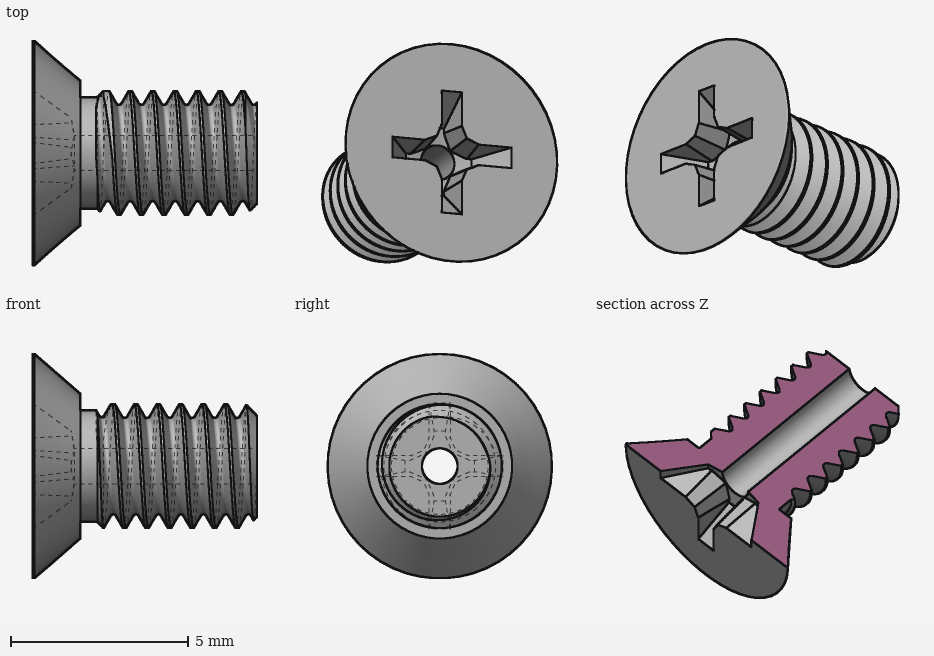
import cadquery as cq
import math


SCREW_LENGTH = 6.35

HEAD_RADIUS = 3.17
HEAD_RIM_THICKNESS = 0.06
HEAD_EDGE_ROUND = 0.03
HEAD_LENGTH = 1.355
HEAD_CONE_ANGLE = 82.0

NECK_RADIUS = 1.578
NECK_END = 1.835

THREAD_RADIUS = 3.505 / 2
THREAD_PITCH = 25.4 / 40
FLANK = math.radians(30)
CREST_WIDTH = THREAD_PITCH / 8
ROOT_ARC_RADIUS = 0.144 * THREAD_PITCH
APEX_RADIUS = THREAD_RADIUS - (THREAD_PITCH - CREST_WIDTH) / 2 / math.tan(FLANK)
ROOT_RADIUS = APEX_RADIUS + ROOT_ARC_RADIUS / math.sin(FLANK) - ROOT_ARC_RADIUS
TIP_RADIUS = 1.425

GROOVE_START_X = 1.98
GROOVE_START_ANGLE = 5.0

CUT_CLEARANCE = 0.02
GUIDE_RADIUS = 2 * ROOT_RADIUS

WING_SPAN_TOP = 3.56
WING_WIDTH_TOP = 0.60
WING_SPAN_BOTTOM = 1.97
WING_WIDTH_BOTTOM = 0.32
SHOULDER_TOP = 0.80
SHOULDER_BOTTOM = 0.85
INNER_CORNER_TOP = 0.45
INNER_CORNER_BOTTOM = 0.37
RECESS_DEPTH = 1.1
RECESS_CONE_ANGLE = 160.0
WING_COUNT = 4

BORE_RADIUS = 0.5


def blank():
    """Head, neck and unthreaded shank as one turned body; both shank ends have 45 degree chamfers."""
    head_back_radius = HEAD_RADIUS - (HEAD_LENGTH - HEAD_RIM_THICKNESS) * math.tan(
        math.radians(HEAD_CONE_ANGLE / 2)
    )
    start_chamfer = THREAD_RADIUS - NECK_RADIUS
    tip_chamfer = THREAD_RADIUS - TIP_RADIUS
    return (
        cq.Workplane("XZ")
        .moveTo(0, 0)
        .lineTo(0, HEAD_RADIUS - HEAD_EDGE_ROUND)
        .radiusArc((HEAD_EDGE_ROUND, HEAD_RADIUS), HEAD_EDGE_ROUND)
        .lineTo(HEAD_RIM_THICKNESS, HEAD_RADIUS)
        .lineTo(HEAD_LENGTH, head_back_radius)
        .lineTo(HEAD_LENGTH, NECK_RADIUS)
        .lineTo(NECK_END, NECK_RADIUS)
        .lineTo(NECK_END + start_chamfer, THREAD_RADIUS)
        .lineTo(SCREW_LENGTH - tip_chamfer, THREAD_RADIUS)
        .lineTo(SCREW_LENGTH, TIP_RADIUS)
        .lineTo(SCREW_LENGTH, 0)
        .close()
        .revolve(360, (0, 0, 0), (1, 0, 0))
    )


def groove_profile():
    """Closed 60 degree groove outline with a rounded root, in the XZ plane, radius along X."""
    tangent_radius = ROOT_RADIUS + ROOT_ARC_RADIUS * (1 - math.sin(FLANK))
    tangent_half_width = ROOT_ARC_RADIUS * math.cos(FLANK)
    outer_radius = THREAD_RADIUS + CUT_CLEARANCE
    outer_half_width = (outer_radius - APEX_RADIUS) * math.tan(FLANK)
    return (
        cq.Workplane("XZ")
        .moveTo(outer_radius, -outer_half_width)
        .lineTo(tangent_radius, -tangent_half_width)
        .threePointArc((ROOT_RADIUS, 0), (tangent_radius, tangent_half_width))
        .lineTo(outer_radius, outer_half_width)
        .close()
    )


def sweep_groove(path, guide):
    """Sweep the groove outline along a path, keeping it pointed at the guide."""
    return groove_profile().sweep(cq.Workplane(obj=path), auxSpine=cq.Workplane(obj=guide))


def place_groove(groove):
    """Turn a groove built about Z so that it runs along X and starts at the thread start."""
    return (
        groove.rotate((0, 0, 0), (0, 0, 1), 180 + GROOVE_START_ANGLE)
        .rotate((0, 0, 0), (0, 1, 0), 90)
        .translate((GROOVE_START_X, 0, 0))
    )


def full_groove():
    """Full-depth groove from its start near the neck to beyond the tip."""
    turns = math.ceil((SCREW_LENGTH - GROOVE_START_X) / THREAD_PITCH) + 1
    length = turns * THREAD_PITCH
    path = cq.Wire.makeHelix(THREAD_PITCH, length, ROOT_RADIUS)
    guide = cq.Wire.makeHelix(THREAD_PITCH, length, GUIDE_RADIUS)
    return place_groove(sweep_groove(path, guide))


def groove_runout():
    """Short stretch before the full groove, rising outward until it leaves the shank."""
    rise_angle = 90 - math.degrees(FLANK)
    slope_pitch = THREAD_PITCH / math.sin(FLANK)
    slope_length = (THREAD_RADIUS + CUT_CLEARANCE - ROOT_RADIUS) / math.cos(FLANK)
    path = cq.Wire.makeHelix(slope_pitch, slope_length, ROOT_RADIUS, angle=rise_angle)
    guide = cq.Wire.makeHelix(slope_pitch, slope_length, GUIDE_RADIUS, angle=rise_angle)
    flip = ((0, 0, 0), (1, 0, 0), 180)
    return place_groove(sweep_groove(path.rotate(*flip), guide.rotate(*flip)))


def star_points(span, width, shoulder, inner_corner):
    """Outline of the four-winged recess: four wings joined by angled corners."""
    half_span = span / 2
    half_width = width / 2
    wing = [
        (shoulder, -half_width),
        (half_span, -half_width),
        (half_span, half_width),
        (shoulder, half_width),
        (inner_corner, inner_corner),
    ]
    points = []
    for quarter in range(WING_COUNT):
        cos_q = round(math.cos(2 * math.pi * quarter / WING_COUNT))
        sin_q = round(math.sin(2 * math.pi * quarter / WING_COUNT))
        points += [(y * cos_q - z * sin_q, y * sin_q + z * cos_q) for y, z in wing]
    return points


def cross_recess():
    """Tapered cross recess that ends in a shallow cone."""
    top = star_points(WING_SPAN_TOP, WING_WIDTH_TOP, SHOULDER_TOP, INNER_CORNER_TOP)
    bottom = star_points(WING_SPAN_BOTTOM, WING_WIDTH_BOTTOM, SHOULDER_BOTTOM, INNER_CORNER_BOTTOM)
    tapered = (
        cq.Workplane("YZ")
        .polyline(top)
        .close()
        .workplane(offset=RECESS_DEPTH)
        .polyline(bottom)
        .close()
        .loft(ruled=True)
    )
    cone_radius = math.hypot(WING_SPAN_BOTTOM, WING_WIDTH_BOTTOM) / 2
    cone_depth = cone_radius / math.tan(math.radians(RECESS_CONE_ANGLE / 2))
    cone = cq.Workplane(
        obj=cq.Solid.makeCone(
            cone_radius, 0, cone_depth, pnt=cq.Vector(RECESS_DEPTH, 0, 0), dir=cq.Vector(1, 0, 0)
        )
    )
    floor = cq.Workplane("YZ", origin=(RECESS_DEPTH, 0, 0)).polyline(bottom).close().extrude(cone_depth)
    return tapered.union(floor.intersect(cone))


def bore():
    """Axial through hole."""
    return cq.Workplane("YZ").circle(BORE_RADIUS).extrude(SCREW_LENGTH)


result = blank().cut(full_groove()).cut(groove_runout()).cut(cross_recess()).cut(bore())